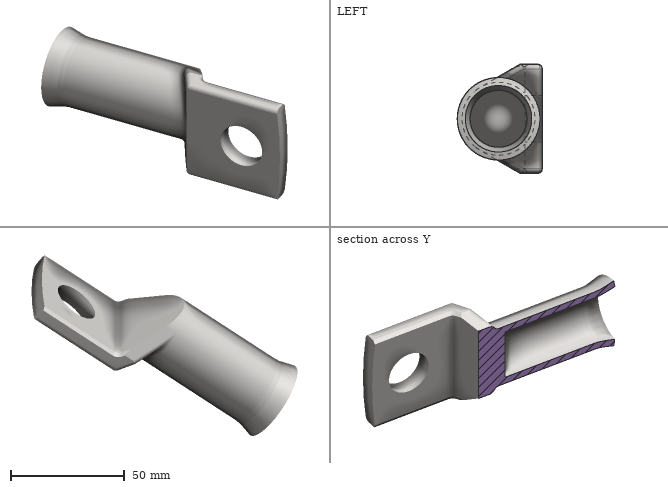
import cadquery as cq
import math

total_length = 118.8
tube_radius = 16.0
wall = 3.6
bore_depth = 57.0
flare_radius = 18.2
flare_lip = 0.7
flare_cone_end = 7.8
flare_end = 10.3
flare_blend_rise = 0.2

palm_width = 48.0
palm_thickness = 7.6
palm_bottom = -19.2
bend_x = 77.2
web_lean = math.radians(30)
inner_bend_radius = 3.1
edge_radius = 2.1
top_chamfer_height = 1.9
top_chamfer_width = 1.1
tube_fillet = 2.9

hole_x = 99.8
hole_diameter = 20.4
end_sagitta = 1.7

half_width = palm_width / 2
palm_top = palm_bottom + palm_thickness
outer_bend_x = bend_x - palm_thickness * math.tan(web_lean)
bore_radius = tube_radius - wall
tangent_y = tube_radius * math.sin(web_lean)
tangent_z = tube_radius * math.cos(web_lean)
shoulder_y = tangent_y - (half_width - tangent_z) / math.tan(web_lean)


def slope_x(corner_x, corner_y, y):
    """X of a web face at height y, rising from the given corner."""
    return corner_x - (y - corner_y) * math.tan(web_lean)


def nearest_edge(solid, point):
    """Edge whose centre lies closest to the point."""
    return solid.edges(cq.selectors.NearestToPointSelector(point)).val()


def edges_on_both_sides(solid, points):
    """Edges nearest to each point and to its mirror image across Z = 0."""
    return [nearest_edge(solid, (x, y, side * z)) for x, y, z in points for side in (1, -1)]


def make_tube():
    """Solid tube with a flared mouth, cut off along the web's slope."""
    body = (
        cq.Workplane("XY")
        .moveTo(0, 0)
        .lineTo(0, flare_radius - wall)
        .lineTo(flare_lip, flare_radius)
        .lineTo(flare_cone_end, tube_radius + flare_blend_rise)
        .lineTo(flare_end, tube_radius)
        .lineTo(total_length, tube_radius)
        .lineTo(total_length, 0)
        .close()
        .revolve(360, (0, 0, 0), (1, 0, 0))
    )
    keep = (
        cq.Workplane("XY")
        .moveTo(0, palm_bottom)
        .lineTo(outer_bend_x, palm_bottom)
        .lineTo(bend_x, palm_top)
        .lineTo(slope_x(bend_x, palm_top, flare_radius), flare_radius)
        .lineTo(0, flare_radius)
        .close()
        .extrude(flare_radius, both=True)
    )
    return body.intersect(keep)


def make_bore():
    """Blind bore whose mouth follows the flare."""
    return (
        cq.Workplane("XY")
        .moveTo(0, 0)
        .lineTo(0, flare_radius - wall)
        .lineTo(flare_cone_end, bore_radius + flare_blend_rise)
        .lineTo(flare_end, bore_radius)
        .lineTo(bore_depth, bore_radius)
        .lineTo(bore_depth, 0)
        .close()
        .revolve(360, (0, 0, 0), (1, 0, 0))
    )


def make_bent_plate():
    """Palm and leaning web; the web narrows to lie tangent to the tube."""
    profile = (
        cq.Workplane("XY")
        .moveTo(outer_bend_x, palm_bottom)
        .lineTo(total_length, palm_bottom)
        .lineTo(total_length, palm_top)
        .lineTo(bend_x, palm_top)
        .lineTo(slope_x(bend_x, palm_top, tangent_y), tangent_y)
        .lineTo(slope_x(outer_bend_x, palm_bottom, tangent_y), tangent_y)
        .close()
        .extrude(half_width, both=True)
        .edges(cq.selectors.NearestToPointSelector((bend_x, palm_top, 0)))
        .fillet(inner_bend_radius)
    )
    outline = (
        cq.Workplane("YZ")
        .polyline([
            (palm_bottom, -half_width),
            (shoulder_y, -half_width),
            (tangent_y, -tangent_z),
            (tangent_y, tangent_z),
            (shoulder_y, half_width),
            (palm_bottom, half_width),
        ])
        .close()
        .extrude(total_length)
    )
    end_outline = (
        cq.Workplane("XZ")
        .moveTo(0, -half_width)
        .lineTo(total_length - end_sagitta, -half_width)
        .threePointArc((total_length, 0), (total_length - end_sagitta, half_width))
        .lineTo(0, half_width)
        .close()
        .extrude(2 * flare_radius, both=True)
    )
    plate = profile.intersect(outline).intersect(end_outline)
    return round_lower_edges(chamfer_upper_edges(plate))


def chamfer_upper_edges(plate):
    """Chamfer both long sides of the palm's upper face, around the bend and up to the shoulder."""
    arc_start_y = palm_top + inner_bend_radius * (1 - math.sin(web_lean))
    web_mid_y = (arc_start_y + shoulder_y) / 2
    upper_points = [
        ((bend_x + total_length) / 2, palm_top),
        (bend_x, palm_top),
        (slope_x(bend_x, palm_top, web_mid_y), web_mid_y),
    ]
    edges = edges_on_both_sides(plate, [(x, y, half_width) for x, y in upper_points])
    return plate.newObject(edges).chamfer(top_chamfer_height, top_chamfer_width)


def round_lower_edges(plate):
    """Round the outer bend and the lower side edges of palm and web."""
    corner_y = (palm_bottom + shoulder_y) / 2
    taper_y = (shoulder_y + tangent_y) / 2
    side_points = [
        ((outer_bend_x + total_length) / 2, palm_bottom, half_width),
        (slope_x(outer_bend_x, palm_bottom, corner_y), corner_y, half_width),
        (slope_x(outer_bend_x, palm_bottom, taper_y), taper_y, (half_width + tangent_z) / 2),
    ]
    edges = edges_on_both_sides(plate, side_points)
    edges.append(nearest_edge(plate, (outer_bend_x, palm_bottom, 0)))
    return plate.newObject(edges).fillet(edge_radius)


def blend_tube_into_web(lug):
    """Fillet the elliptical corner where the tube's underside meets the web."""
    underside_x = slope_x(outer_bend_x, palm_bottom, -tube_radius)
    ellipses = lug.edges("%ELLIPSE").vals()
    underside = cq.Vertex.makeVertex(underside_x, -tube_radius, 0)
    corner = min(ellipses, key=underside.distance)
    return lug.newObject([corner]).fillet(tube_fillet)


def make_bolt_hole():
    """Through hole in the palm."""
    return (
        cq.Workplane("XZ", origin=(hole_x, 0, 0))
        .circle(hole_diameter / 2)
        .extrude(-2 * palm_bottom)
    )


lug = blend_tube_into_web(make_bent_plate().union(make_tube()))
result = lug.cut(make_bore()).cut(make_bolt_hole())